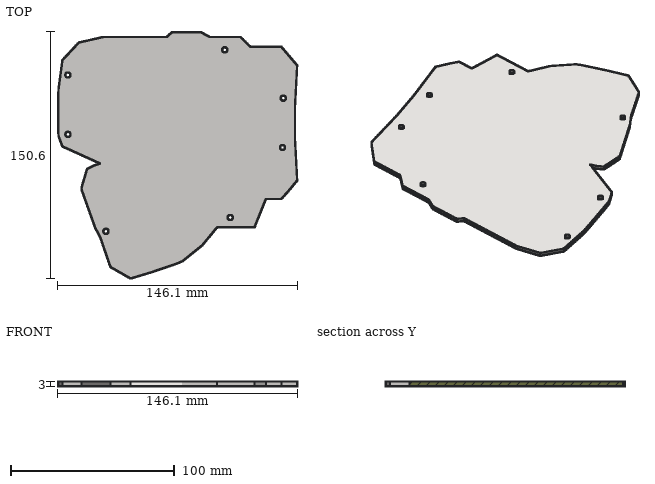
import cadquery as cq

width = 146.1
length = 150.6
thickness = 3.0
hole_diameter = 3.0

shoulder_y = 147.8
step_y = 141.8
right_ear_y = 48.7
lower_ledge_y = 31.3
ear_x = 136.3
waist_x = 144.8
left_flank_x = 2.5

top_edge = [
    (69.6, length),
    (87.2, length),
    (92.5, shoulder_y),
    (111.3, shoulder_y),
    (117.4, step_y),
    (ear_x, step_y),
]
right_edge = [
    (width, 130.3),
    (waist_x, 104.7),
    (waist_x, 85.9),
    (width, 60.0),
    (140.3, 52.9),
    (ear_x, right_ear_y),
    (127.0, right_ear_y),
    (121.4, 34.8),
    (120.0, lower_ledge_y),
    (97.2, lower_ledge_y),
]
thumb_edge = [
    (88.1, 20.3),
    (76.0, 10.5),
    (72.3, 9.0),
    (56.8, 3.8),
    (44.3, 0),
    (32.0, 7.1),
    (25.8, 25.0),
    (24.9, 26.8),
    (22.6, 31.0),
    (14.2, 54.7),
    (14.5, 56.3),
    (17.6, 67.0),
    (21.8, 69.1),
    (25.5, 70.4),
]
left_edge = [
    (left_flank_x, 80.7),
    (0.2, 87.2),
    (0, 92.0),
    (0, 110.7),
    (0.2, 115.5),
    (left_flank_x, 133.5),
    (12.7, 144.3),
    (27.9, shoulder_y),
    (66.5, shoulder_y),
]

hole_centers = [
    (6.0, 124.5),
    (6.0, 88.1),
    (101.8, 139.8),
    (137.5, 110.3),
    (137.1, 80.1),
    (105.2, 37.4),
    (29.2, 29.0),
]

plate_outline = top_edge + right_edge + thumb_edge + left_edge
plate = cq.Workplane("XY").polyline(plate_outline).close().extrude(thickness)

screw_holes = (
    cq.Workplane("XY")
    .pushPoints(hole_centers)
    .circle(hole_diameter / 2)
    .extrude(thickness)
)

result = plate.cut(screw_holes)